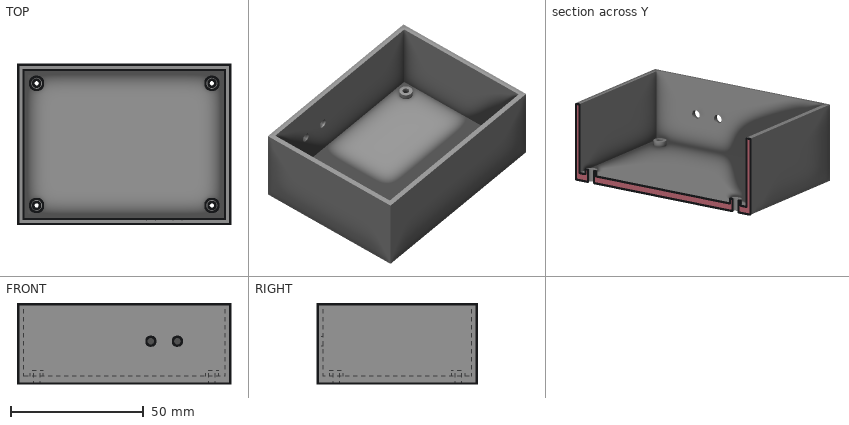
import cadquery as cq

length = 80.0
width = 60.0
height = 30.0
wall = 2.0
floor = 3.0

standoff_inset = 7.0
standoff_diameter = 5.0
standoff_height = 2.0
screw_diameter = 2.5

wall_hole_diameter = 3.4
wall_hole_count = 2
wall_hole_spacing = 10.0
first_wall_hole_x = 10.0
wall_hole_z = 16.0


def make_box():
    """Open-topped box standing on Z = 0, centred in X and Y."""
    outer = cq.Workplane("XY").box(length, width, height, centered=(True, True, False))
    cavity = (
        cq.Workplane("XY", origin=(0, 0, floor))
        .box(length - 2 * wall, width - 2 * wall, height - floor, centered=(True, True, False))
    )
    return outer.cut(cavity)


def add_standoffs(body):
    """Four standoffs on the floor, each with a screw hole through the floor."""
    spacing_x = length - 2 * standoff_inset
    spacing_y = width - 2 * standoff_inset
    standoff_top = floor + standoff_height
    corners = cq.Workplane("XY").rarray(spacing_x, spacing_y, 2, 2)
    standoffs = corners.circle(standoff_diameter / 2).extrude(standoff_top)
    screw_holes = corners.circle(screw_diameter / 2).extrude(standoff_top)
    return body.union(standoffs).cut(screw_holes)


def cut_wall_holes(body):
    """Round holes side by side through the -Y wall."""
    centres = [(first_wall_hole_x + i * wall_hole_spacing, wall_hole_z) for i in range(wall_hole_count)]
    holes = (
        cq.Workplane("XZ", origin=(0, -width / 2 + wall, 0))
        .pushPoints(centres)
        .circle(wall_hole_diameter / 2)
        .extrude(wall)
    )
    return body.cut(holes)


result = cut_wall_holes(add_standoffs(make_box()))